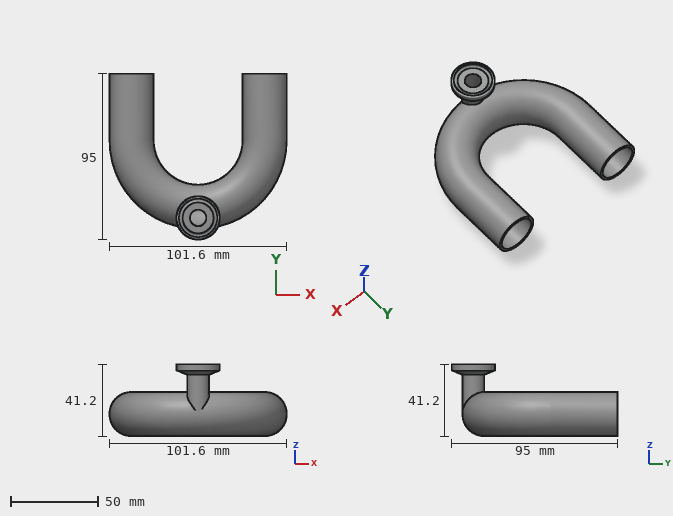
import cadquery as cq
import math

bend_radius = 38.1
tube_diameter = 25.4
tube_bore = 22.1
leg_length = 38.1

branch_diameter = 12.7
branch_bore = 9.3
branch_y = -(bend_radius + tube_diameter / 2 - branch_diameter / 2)

flange_diameter = 25.0
flange_top = 28.5
rim_height = 3.7
cone_height = 2.4
rim_fillet = 0.4

groove_outer_diameter = 21.9
face_diameter = 17.7
face_recess = 0.8
groove_slope_angle = 50
groove_floor_radius = 0.8


def u_sweep(diameter):
    """Round bar following the U: two straight legs joined by a half-circle bend."""
    path = (
        cq.Workplane("XY")
        .moveTo(-bend_radius, leg_length)
        .lineTo(-bend_radius, 0)
        .threePointArc((0, -bend_radius), (bend_radius, 0))
        .lineTo(bend_radius, leg_length)
    )
    start = cq.Plane(origin=(-bend_radius, leg_length, 0), xDir=(1, 0, 0), normal=(0, -1, 0))
    return cq.Workplane(start).circle(diameter / 2).sweep(path)


def branch_cylinder(diameter, bottom, top):
    """Vertical cylinder on the branch axis."""
    return (
        cq.Workplane("XY", origin=(0, branch_y, bottom))
        .circle(diameter / 2)
        .extrude(top - bottom)
    )


def ferrule_flange():
    """Rim with rounded edges above a cone that narrows to the branch."""
    rim_bottom = flange_top - rim_height
    rim = branch_cylinder(flange_diameter, rim_bottom, flange_top).edges().fillet(rim_fillet)
    cone_radius = flange_diameter / 2 - rim_fillet
    cone_bottom = rim_bottom - cone_height
    cone = (
        cq.Workplane("XZ", origin=(0, branch_y, 0))
        .polyline([
            (0, rim_bottom),
            (cone_radius, rim_bottom),
            (branch_diameter / 2, cone_bottom),
            (0, cone_bottom),
        ])
        .close()
        .revolve(360, (0, 0), (0, 1))
    )
    return rim.union(cone)


def face_and_groove_cutter():
    """Cutter for the recessed face and its groove: sloped side, round floor, upright wall."""
    slope = math.radians(groove_slope_angle)
    face_z = flange_top - face_recess
    wall_radius = groove_outer_diameter / 2
    floor_center_radius = wall_radius - groove_floor_radius
    slope_end_radius = floor_center_radius - groove_floor_radius * math.sin(slope)
    slope_end_z = face_z - (slope_end_radius - face_diameter / 2) * math.tan(slope)
    floor_center_z = slope_end_z + groove_floor_radius * math.cos(slope)
    profile = (
        cq.Workplane("XZ", origin=(0, branch_y, 0))
        .moveTo(0, flange_top)
        .lineTo(0, face_z)
        .lineTo(face_diameter / 2, face_z)
        .lineTo(slope_end_radius, slope_end_z)
        .threePointArc(
            (floor_center_radius, floor_center_z - groove_floor_radius),
            (wall_radius, floor_center_z),
        )
        .lineTo(wall_radius, flange_top)
        .close()
    )
    return profile.revolve(360, (0, 0), (0, 1))


branch = branch_cylinder(branch_diameter, 0, flange_top - rim_height)

result = (
    u_sweep(tube_diameter)
    .union(branch)
    .union(ferrule_flange())
    .cut(face_and_groove_cutter())
    .cut(branch_cylinder(branch_bore, 0, flange_top))
    .cut(u_sweep(tube_bore))
)